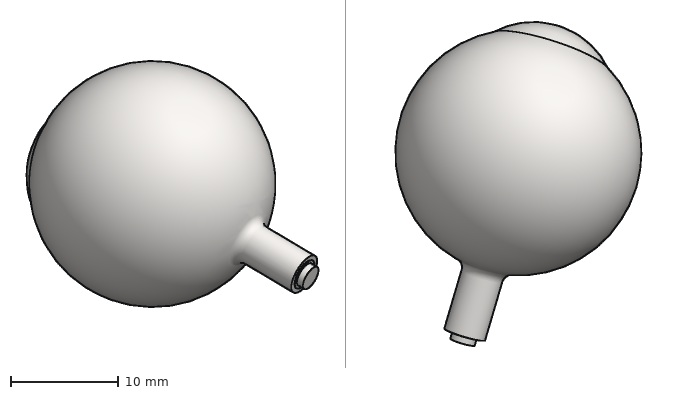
import cadquery as cq
import math

globe_radius = 11.5
cornea_radius = 7.8
cornea_apex = 12.5
limbus_distance = 9.9

nerve_droop = 20
sheath_diameter = 4.0
sheath_root_fillet = 1.0
sleeve_diameter = 3.0
core_diameter = 2.4

sheath_end = 17.85
sleeve_end = 17.92
core_end = 18.62

nerve_start = globe_radius

limbus_radius = math.sqrt(globe_radius**2 - limbus_distance**2)
cornea_offset = cornea_apex - cornea_radius
crease_distance = (globe_radius**2 - cornea_radius**2 + cornea_offset**2) / (2 * cornea_offset)
crease_radius = math.sqrt(globe_radius**2 - crease_distance**2)

sheath_radius = sheath_diameter / 2
fillet_centre_radius = sheath_radius + sheath_root_fillet
fillet_centre_distance = math.sqrt((globe_radius + sheath_root_fillet) ** 2 - fillet_centre_radius**2)
globe_share = globe_radius / (globe_radius + sheath_root_fillet)
root_distance = fillet_centre_distance * globe_share
root_radius = fillet_centre_radius * globe_share


def turn_about_x(profile):
    return profile.revolve(360, (0, 0, 0), (1, 0, 0))


def tilt_to_nerve(body):
    """Swing a body built along +X down onto the nerve axis."""
    return body.rotate((0, 0, 0), (0, 1, 0), nerve_droop)


def make_nerve_rod(diameter, end):
    """Round rod on the nerve axis, from the globe surface out to the given distance."""
    face = cq.Workplane("YZ", origin=(nerve_start, 0, 0)).circle(diameter / 2)
    return tilt_to_nerve(face.extrude(end - nerve_start))


def make_globe():
    """Ball with a flat where the cornea sits."""
    profile = (
        cq.Workplane("XY")
        .moveTo(-limbus_distance, 0)
        .lineTo(-limbus_distance, limbus_radius)
        .threePointArc((0, globe_radius), (globe_radius, 0))
        .close()
    )
    return turn_about_x(profile)


def make_sheath():
    """Outer nerve layer, flaring at its root to blend into the globe."""
    profile = (
        cq.Workplane("XY")
        .lineTo(root_distance, root_radius)
        .radiusArc((fillet_centre_distance, sheath_radius), -sheath_root_fillet)
        .lineTo(sheath_end, sheath_radius)
        .lineTo(sheath_end, 0)
        .close()
    )
    return tilt_to_nerve(turn_about_x(profile))


def make_sclera():
    """Globe and nerve sheath in one piece, bored for the inner nerve layers."""
    bore = make_nerve_rod(sleeve_diameter, sheath_end)
    return make_globe().union(make_sheath()).cut(bore)


def make_cornea():
    """Cap more curved than the globe, with a narrow rim that continues the globe surface."""
    profile = (
        cq.Workplane("XY")
        .moveTo(-limbus_distance, 0)
        .lineTo(-limbus_distance, limbus_radius)
        .radiusArc((-crease_distance, crease_radius), -globe_radius)
        .radiusArc((-cornea_apex, 0), -cornea_radius)
        .close()
    )
    return turn_about_x(profile)


def make_nerve_sleeve():
    """Tube between the sheath and the nerve core, standing slightly proud of the sheath."""
    bore = make_nerve_rod(core_diameter, sleeve_end)
    return make_nerve_rod(sleeve_diameter, sleeve_end).cut(bore)


sclera = make_sclera()
cornea = make_cornea()
nerve_sleeve = make_nerve_sleeve()
nerve_core = make_nerve_rod(core_diameter, core_end)

bodies = [sclera, cornea, nerve_sleeve, nerve_core]
result = cq.Compound.makeCompound([body.solids().val() for body in bodies])